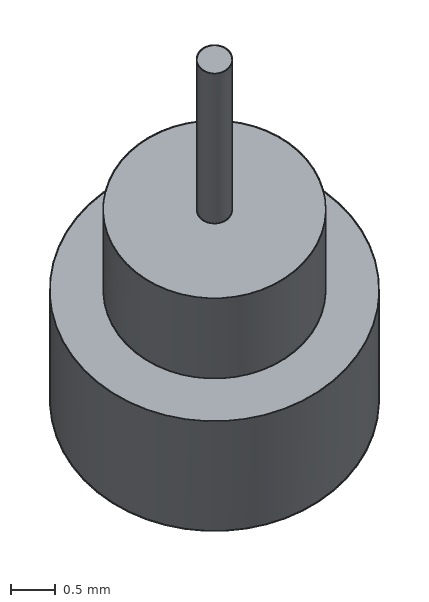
import cadquery as cq

total_height = 6.35

base_diameter = 3.7
base_height = 2.05

collar_diameter = 2.5
collar_height = 1.5

pin_diameter = 0.4
pin_height = total_height - base_height - collar_height


def add_cylinder(body, diameter, height):
    """Stack a concentric cylinder on the top face of the body."""
    return body.faces(">Z").workplane().circle(diameter / 2).extrude(height)


result = cq.Workplane("XY").circle(base_diameter / 2).extrude(base_height)
result = add_cylinder(result, collar_diameter, collar_height)
result = add_cylinder(result, pin_diameter, pin_height)